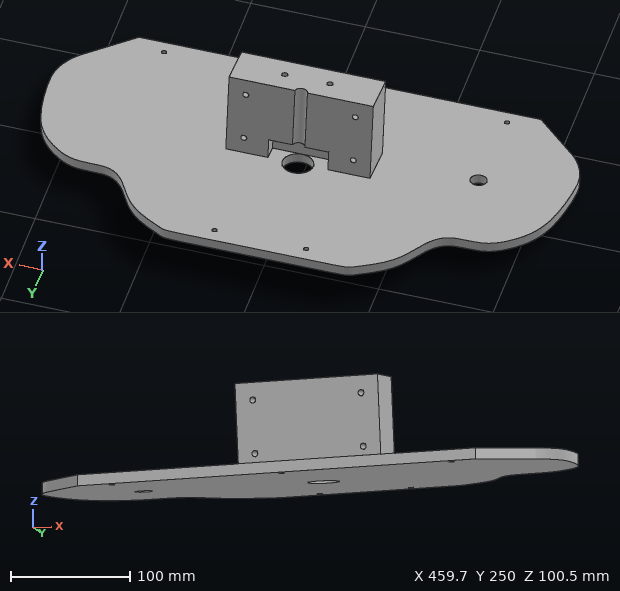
import cadquery as cq
import math

plate_width = 459.7
plate_depth = 250.0
plate_thickness = 9.5
slope_angle = 7.5
slope = math.tan(math.radians(slope_angle))
half_width = plate_width / 2
front_half_width = 175.5
corner_start = (215.5, 40.0)
corner_radius = 50.0
side_top_y = 76.5
shoulder_end = (179.0, 180.0)
valley = (145.0, 184.5)
top_half_width = 66.0

screw_hole_diameter = 4.0
front_hole_x = 150.0
front_hole_y = 13.5
rear_hole_x = 40.0
rear_hole_y = 236.5
side_hole_center = (-150.0, 98.0)
side_hole_diameter = 14.3
cable_hole_y = 125.0
cable_hole_diameter = 26.5

block_width = 126.0
block_depth = 37.2
total_height = 100.5
block_back_y = 125.0
block_back_z = plate_thickness + block_back_y * slope
block_height = (total_height - block_back_z) / math.cos(math.radians(slope_angle))
block_embed = 2.5

block_hole_diameter = 5.0
block_hole_x = 48.0
block_hole_heights = (15.0, 60.0)
top_hole_x = 19.8
top_hole_depth = 14.0
groove_radius = 5.5
groove_offset = 1.0
passage_width = 52.5
passage_height = 18.5
passage_depth = 14.0


def make_plate():
    """Extrude the cloud outline vertically and keep the sloping layer."""
    turn = math.radians(22.5)
    corner_mid = (
        half_width - corner_radius * (1 - math.cos(turn)),
        side_top_y - corner_radius * math.sin(turn),
    )
    shoulder = [(228.0, 103.5), (212.5, 154.5), (199.5, 168.5), shoulder_end]
    crown = [(139.5, 188.5), (124.0, 212.0), (106.0, 233.5), (85.5, 247.0), (top_half_width, plate_depth)]
    half_outline = (
        cq.Workplane("XY")
        .lineTo(front_half_width, 0)
        .lineTo(*corner_start)
        .threePointArc(corner_mid, (half_width, side_top_y))
        .spline(shoulder + [valley] + crown, tangents=[(0, 1), (-1, 0)], includeCurrent=True)
        .lineTo(0, plate_depth)
        .close()
        .extrude(total_height)
    )
    cloud = half_outline.union(half_outline.mirror("YZ"))
    rise = plate_depth * slope
    layer = (
        cq.Workplane("YZ")
        .polyline([
            (0, 0),
            (plate_depth, rise),
            (plate_depth, rise + plate_thickness),
            (0, plate_thickness),
        ])
        .close()
        .extrude(half_width, both=True)
    )
    return cloud.intersect(layer)


def plate_holes():
    """Vertical cutters through the plate."""
    screw_points = [(x, front_hole_y) for x in (-front_hole_x, 0, front_hole_x)]
    screw_points += [(x, rear_hole_y) for x in (-rear_hole_x, rear_hole_x)]
    base = cq.Workplane("XY")
    screws = base.pushPoints(screw_points).circle(screw_hole_diameter / 2).extrude(total_height)
    side = base.center(*side_hole_center).circle(side_hole_diameter / 2).extrude(total_height)
    return screws.union(side)


def make_block():
    """Block with its back bottom edge on the X axis, before tilting."""
    block = cq.Workplane("XY").box(
        block_width, block_depth, block_height + block_embed, centered=(True, False, False)
    ).translate((0, -block_depth, -block_embed))

    through_points = [(x, z) for x in (-block_hole_x, block_hole_x) for z in block_hole_heights]
    through_holes = (
        cq.Workplane("XZ").pushPoints(through_points)
        .circle(block_hole_diameter / 2).extrude(block_depth)
    )
    top_holes = (
        cq.Workplane("XY", origin=(0, -block_depth / 2, block_height))
        .pushPoints([(-top_hole_x, 0), (top_hole_x, 0)])
        .circle(block_hole_diameter / 2).extrude(-top_hole_depth)
    )
    groove = cq.Workplane("XY").center(0, groove_offset).circle(groove_radius).extrude(block_height)
    passage = cq.Workplane("XY").box(
        passage_width, passage_depth, passage_height + block_embed, centered=(True, False, False)
    ).translate((0, -passage_depth, -block_embed))
    return block.cut(through_holes).cut(top_holes).cut(groove).cut(passage)


plate = make_plate().cut(plate_holes())
block = (
    make_block()
    .rotate((0, 0, 0), (1, 0, 0), slope_angle)
    .translate((0, block_back_y, block_back_z))
)
cable_hole = (
    cq.Workplane("XY").center(0, cable_hole_y)
    .circle(cable_hole_diameter / 2).extrude(block_back_z + passage_height / 2)
)
result = plate.cut(cable_hole).union(block)